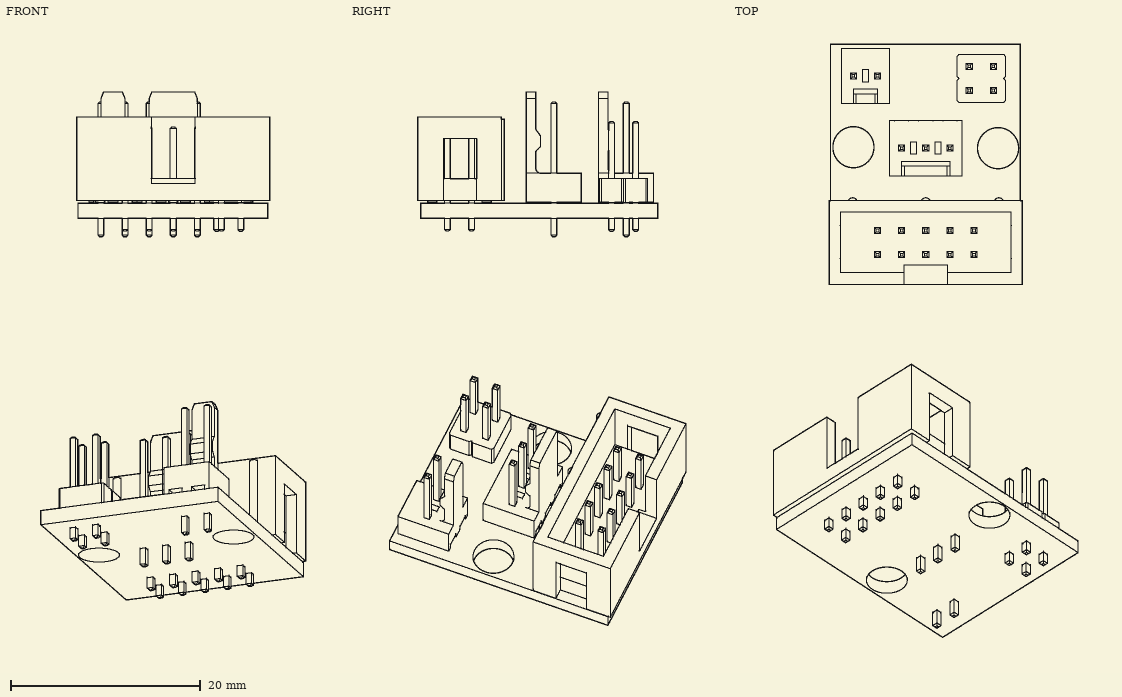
import cadquery as cq


HEADER_COLUMNS = 5
HEADER_COLUMN_SPAN = 10.15
PITCH = HEADER_COLUMN_SPAN / (HEADER_COLUMNS - 1)
PIN_SIDE = 0.63
TIP_CHAMFER = 0.18

SEAT_GAP = 0.08

BOARD_LENGTH = 25.0
BOARD_WIDTH = 20.0
BOARD_THICKNESS = 1.6
BOARD_FRONT_Y = 0.33
BOARD_CENTRE_X = -0.05
SEAT_Z = BOARD_THICKNESS + SEAT_GAP
MOUNT_HOLE_DIAMETER = 4.3
MOUNT_HOLE_X = 3 * PITCH
LEFT_HOLE_Y = 14.45
RIGHT_HOLE_Y = 14.35

HEADER_WIDTH = 20.35
HEADER_DEPTH = 8.84
HEADER_HEIGHT = 8.84
STANDOFF_HEIGHT = 0.18
HEADER_BOTTOM_Z = SEAT_Z + STANDOFF_HEIGHT
HEADER_TOP_Z = HEADER_BOTTOM_Z + HEADER_HEIGHT
HEADER_CENTRE_Y = HEADER_DEPTH / 2
HEADER_ROWS = 2
HEADER_PIN_BOTTOM_Z = -1.35
HEADER_PIN_TOP_Z = 9.62
WALL = 1.2
CAVITY_FRONT_Y = 1.3
CAVITY_FLOOR_Z = 4.18
KEY_SLOT_WIDTH = 4.58
KEY_SLOT_DEPTH = 2.05
KEY_SLOT_FLOOR_Z = 3.67
WINDOW_WIDTH = 3.47
WINDOW_CENTRE_Y = 4.48
WINDOW_TOP_Z = 8.38
STANDOFF_DIAMETER = 1.0
STANDOFF_OFFSET_Y = 2.85
RIB_DIAMETER = 1.0
RIB_PROTRUSION = 0.3
RIB_TOP_Z = 10.43
SUPPORT_COLUMNS = 3
SUPPORT_SPACING = 7.7

LOCK_PIN_BOTTOM_Z = -1.95
LOCK_PIN_TOP_Z = 12.25
LOCK_BODY_HEIGHT = 3.1
LOCK_BODY_TOP_Z = SEAT_Z + LOCK_BODY_HEIGHT
LOCK_BODY_BACK = 2.89
LOCK_BODY_FRONT = 2.94
FOOT_WIDTH = 1.06
FOOT_HEIGHT = 0.55
VENT_WIDTH = 0.63
VENT_LENGTH = 1.3
TAB_TOP_Z = 13.32
TAB_THICKNESS = 1.05
TAB_CORNER_WIDTH = 0.28
TAB_CORNER_HEIGHT = 0.68
TAB_ROOT_RADIUS = 0.5
LATCH_PROTRUSION = 0.5
LATCH_BOTTOM_Z = 7.06
LATCH_FACE_BOTTOM_Z = 7.57
LATCH_FACE_TOP_Z = 8.65
LATCH_TOP_Z = 9.37
TWO_PIN_CENTRE = (-2.5 * PITCH, 21.98)
THREE_PIN_CENTRE = (0, TWO_PIN_CENTRE[1] - 3 * PITCH)

SQUARE_CENTRE = (5.85, 21.7)
SQUARE_COUNT = 2
SQUARE_BODY_HEIGHT = PITCH
SQUARE_CORNER = 0.2
SQUARE_PIN_BOTTOM_Z = -1.37
SQUARE_PIN_TOP_Z = 10.2


def box(x_range, y_range, z_range):
    """Axis-aligned box between the given limits."""
    size = [high - low for low, high in (x_range, y_range, z_range)]
    corner = (x_range[0], y_range[0], z_range[0])
    return cq.Workplane("XY").box(*size, centered=False).translate(corner)


def centred(middle, width):
    """Limits of a span of the given width about its middle."""
    return (middle - width / 2, middle + width / 2)


def grid(columns, rows, centre, x_spacing=PITCH, y_spacing=PITCH):
    """Points of a rectangular grid about its centre."""
    return [
        (
            centre[0] + (column - (columns - 1) / 2) * x_spacing,
            centre[1] + (row - (rows - 1) / 2) * y_spacing,
        )
        for column in range(columns)
        for row in range(rows)
    ]


def make_pins(points, bottom_z, top_z):
    """Square pins with chamfered tips."""
    pin = box(centred(0, PIN_SIDE), centred(0, PIN_SIDE), (bottom_z, top_z))
    pin = pin.faces("<Z or >Z").chamfer(TIP_CHAMFER)
    pins = cq.Workplane("XY")
    for x, y in points:
        pins = pins.union(pin.translate((x, y, 0)))
    return pins


HEADER_PINS = grid(HEADER_COLUMNS, HEADER_ROWS, (0, HEADER_CENTRE_Y))
TWO_PIN_PINS = grid(2, 1, TWO_PIN_CENTRE)
THREE_PIN_PINS = grid(3, 1, THREE_PIN_CENTRE)
SQUARE_PINS = grid(SQUARE_COUNT, SQUARE_COUNT, SQUARE_CENTRE)


def make_board():
    """Board with two mounting holes and a square hole for every pin."""
    board = box(
        centred(BOARD_CENTRE_X, BOARD_WIDTH),
        (BOARD_FRONT_Y, BOARD_FRONT_Y + BOARD_LENGTH),
        (0, BOARD_THICKNESS),
    )
    mount_points = [(-MOUNT_HOLE_X, LEFT_HOLE_Y), (MOUNT_HOLE_X, RIGHT_HOLE_Y)]
    mount_holes = (
        cq.Workplane("XY")
        .pushPoints(mount_points)
        .circle(MOUNT_HOLE_DIAMETER / 2)
        .extrude(BOARD_THICKNESS)
    )
    pin_holes = (
        cq.Workplane("XY")
        .pushPoints(HEADER_PINS + TWO_PIN_PINS + THREE_PIN_PINS + SQUARE_PINS)
        .rect(PIN_SIDE, PIN_SIDE)
        .extrude(BOARD_THICKNESS)
    )
    return board.cut(mount_holes).cut(pin_holes)


def make_box_header():
    """Shrouded header with key slot, end windows, back ribs and standoffs."""
    half_width = HEADER_WIDTH / 2
    body = box(
        (-half_width, half_width),
        (0, HEADER_DEPTH),
        (HEADER_BOTTOM_Z, HEADER_TOP_Z),
    )

    cavity = box(
        (-half_width + WALL, half_width - WALL),
        (CAVITY_FRONT_Y, HEADER_DEPTH - WALL),
        (CAVITY_FLOOR_Z, HEADER_TOP_Z),
    )
    key_slot = box(
        centred(0, KEY_SLOT_WIDTH),
        (0, KEY_SLOT_DEPTH),
        (KEY_SLOT_FLOOR_Z, HEADER_TOP_Z),
    )
    body = body.cut(cavity).cut(key_slot)

    for wall_middle in (-half_width + WALL / 2, half_width - WALL / 2):
        window = box(
            centred(wall_middle, WALL),
            centred(WINDOW_CENTRE_Y, WINDOW_WIDTH),
            (HEADER_BOTTOM_Z, WINDOW_TOP_Z),
        )
        body = body.cut(window)

    rib_y = HEADER_DEPTH + RIB_PROTRUSION - RIB_DIAMETER / 2
    ribs = (
        cq.Workplane("XY", origin=(0, 0, HEADER_BOTTOM_Z))
        .pushPoints(grid(SUPPORT_COLUMNS, 1, (0, rib_y), SUPPORT_SPACING))
        .circle(RIB_DIAMETER / 2)
        .extrude(RIB_TOP_Z - HEADER_BOTTOM_Z)
    )
    standoff_points = grid(
        SUPPORT_COLUMNS, 2, (0, HEADER_CENTRE_Y), SUPPORT_SPACING, 2 * STANDOFF_OFFSET_Y
    )
    standoffs = (
        cq.Workplane("XY", origin=(0, 0, SEAT_Z))
        .pushPoints(standoff_points)
        .circle(STANDOFF_DIAMETER / 2)
        .extrude(STANDOFF_HEIGHT)
    )
    pins = make_pins(HEADER_PINS, HEADER_PIN_BOTTOM_Z, HEADER_PIN_TOP_Z)
    return body.union(ribs).union(standoffs).union(pins)


def make_lock_tab(centre, width):
    """Upright tab flush with the connector front, with a latch bump on its back."""
    front_y = centre[1] - LOCK_BODY_FRONT
    back_y = front_y + TAB_THICKNESS
    latch_y = back_y + LATCH_PROTRUSION
    side_shape = (
        cq.Workplane("YZ")
        .moveTo(front_y, LOCK_BODY_TOP_Z)
        .lineTo(back_y + TAB_ROOT_RADIUS, LOCK_BODY_TOP_Z)
        .radiusArc((back_y, LOCK_BODY_TOP_Z + TAB_ROOT_RADIUS), TAB_ROOT_RADIUS)
        .lineTo(back_y, LATCH_BOTTOM_Z)
        .lineTo(latch_y, LATCH_FACE_BOTTOM_Z)
        .lineTo(latch_y, LATCH_FACE_TOP_Z)
        .lineTo(back_y, LATCH_TOP_Z)
        .lineTo(back_y, TAB_TOP_Z)
        .lineTo(front_y, TAB_TOP_Z)
        .close()
        .extrude(width / 2, both=True)
    )

    half_width = width / 2
    half_top = half_width - TAB_CORNER_WIDTH
    shoulder_z = TAB_TOP_Z - TAB_CORNER_HEIGHT
    front_shape = (
        cq.Workplane("XZ", origin=(0, front_y, 0))
        .moveTo(-half_width, LOCK_BODY_TOP_Z)
        .lineTo(half_width, LOCK_BODY_TOP_Z)
        .lineTo(half_width, shoulder_z)
        .lineTo(half_top, TAB_TOP_Z)
        .lineTo(-half_top, TAB_TOP_Z)
        .lineTo(-half_width, shoulder_z)
        .close()
        .extrude(-(TAB_THICKNESS + max(LATCH_PROTRUSION, TAB_ROOT_RADIUS)))
    )
    return side_shape.intersect(front_shape).translate((centre[0], 0, 0))


def make_lock_connector(pin_count, centre, pin_points):
    """Single-row connector with locking tab, vents between pins and feet below."""
    x, y = centre
    front_y = y - LOCK_BODY_FRONT
    back_y = y + LOCK_BODY_BACK
    body = box(
        centred(x, pin_count * PITCH),
        (front_y, back_y),
        (SEAT_Z, LOCK_BODY_TOP_Z),
    )

    for pin_x, _ in pin_points:
        foot_gap = box(
            centred(pin_x, PITCH - FOOT_WIDTH),
            (front_y, back_y),
            (SEAT_Z, SEAT_Z + FOOT_HEIGHT),
        )
        body = body.cut(foot_gap)

    for vent_x, vent_y in grid(pin_count - 1, 1, centre):
        vent = box(
            centred(vent_x, VENT_WIDTH),
            centred(vent_y, VENT_LENGTH),
            (SEAT_Z, LOCK_BODY_TOP_Z),
        )
        body = body.cut(vent)

    tab = make_lock_tab(centre, (pin_count - 1) * PITCH)
    pins = make_pins(pin_points, LOCK_PIN_BOTTOM_Z, LOCK_PIN_TOP_Z)
    return body.union(tab).union(pins)


def make_square_header():
    """Two-by-two pin header with chamfered corners and side notches."""
    width = SQUARE_COUNT * PITCH
    body = cq.Workplane("XY")
    for row_centre in grid(1, SQUARE_COUNT, SQUARE_CENTRE):
        row = box(
            centred(row_centre[0], width),
            centred(row_centre[1], PITCH),
            (SEAT_Z, SEAT_Z + SQUARE_BODY_HEIGHT),
        )
        body = body.union(row.edges("|Z").chamfer(SQUARE_CORNER))
    pins = make_pins(SQUARE_PINS, SQUARE_PIN_BOTTOM_Z, SQUARE_PIN_TOP_Z)
    return body.union(pins)


board = make_board()
box_header = make_box_header()
two_pin_connector = make_lock_connector(2, TWO_PIN_CENTRE, TWO_PIN_PINS)
three_pin_connector = make_lock_connector(3, THREE_PIN_CENTRE, THREE_PIN_PINS)
square_header = make_square_header()

result = cq.Compound.makeCompound(
    [
        board.val(),
        box_header.val(),
        two_pin_connector.val(),
        three_pin_connector.val(),
        square_header.val(),
    ]
)